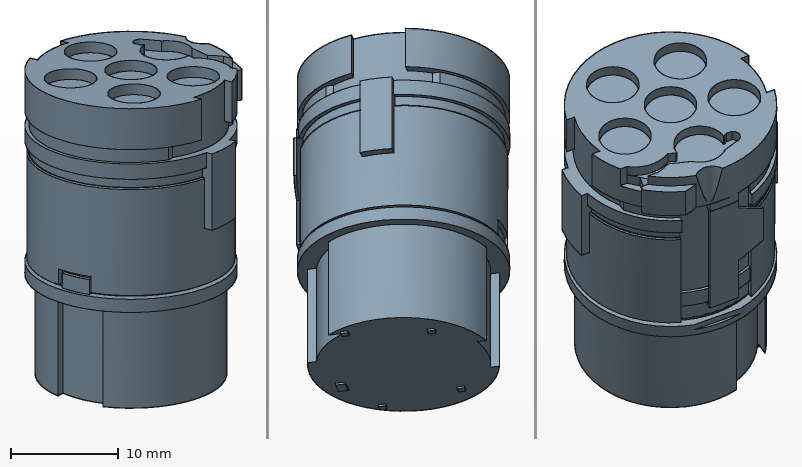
import cadquery as cq
import math

body_bottom = 0.2
flange_bottom = 10.12
flange_top = 11.43
sleeve_bottom = 11.73
sleeve_top = 22.4
collar_bottom = 23.38
collar_top = 24.9
head_bottom = 26.33
top = 30.4
pocket_depth = 1.05
pocket_floor = top - pocket_depth

rim_radius = 9.85
sleeve_radius = 9.67
neck_radius = 9.45
core_radius = 9.05
body_radius = 8.9
body_recess_radius = 8.1
key_radius = 10.5

hole_radius = 2.43
hole_circle_radius = 6.0
hole_count = 5

beyond = 15.2


def disc(radius, bottom, height_top):
    return cq.Workplane("XY").workplane(offset=bottom).circle(radius).extrude(height_top - bottom)


def block(x_min, x_max, y_min, y_max, z_min, z_max):
    size = (x_max - x_min, y_max - y_min, z_max - z_min)
    return cq.Workplane("XY").box(*size, centered=False).translate((x_min, y_min, z_min))


front_recess_half_width = 2.5
back_recess_left = -7.08
back_recess_right = -2.5


def plug_body():
    body = disc(body_radius, body_bottom, flange_bottom)
    shell = body.cut(disc(body_recess_radius, body_bottom, flange_bottom))
    front = block(-front_recess_half_width, front_recess_half_width, -beyond, 0, 0, flange_bottom)
    back = block(back_recess_left, back_recess_right, 0, beyond, 0, flange_bottom)
    return body.cut(shell.intersect(front.union(back)))


flat_y = 9.55
flat_bottom = 10.8


def flange():
    flat = block(-beyond, beyond, flat_y, beyond, flat_bottom, flange_top)
    return disc(rim_radius, flange_bottom, flange_top).cut(flat)


sleeve_chamfer = 0.12
tab_half_width = 1.52
tab_top = 12.92
tab_side_clearance = 0.27
tab_top_clearance = 0.4


def sleeve():
    shell = disc(sleeve_radius, sleeve_bottom, sleeve_top).faces(">Z").chamfer(sleeve_chamfer)
    gap_half_width = tab_half_width + tab_side_clearance
    gap = block(-gap_half_width, gap_half_width, -beyond, 0, sleeve_bottom, tab_top + tab_top_clearance)
    core = disc(core_radius, flange_top, sleeve_top)
    tab_space = block(-tab_half_width, tab_half_width, -beyond, 0, flange_top, tab_top)
    tab = disc(neck_radius, flange_top, tab_top).intersect(tab_space)
    return shell.cut(gap).union(core).union(tab)


neck_wide_half = 7.72


def neck_and_collar():
    groove = disc(neck_radius, sleeve_top, collar_bottom)
    collar = disc(rim_radius, collar_bottom, collar_top)
    wide = block(-neck_wide_half, neck_wide_half, -beyond, beyond, collar_top, head_bottom)
    neck = disc(neck_radius, collar_top, head_bottom).intersect(wide)
    return groove.union(collar).union(neck).union(disc(core_radius, collar_top, head_bottom))


side_notch_half_width = 2.58


def head():
    notches = block(-beyond, beyond, -side_notch_half_width, side_notch_half_width, head_bottom, top)
    return disc(rim_radius, head_bottom, top).cut(notches).union(disc(core_radius, head_bottom, top))


key_bottom = 17.3
left_key_half_width = 1.52
right_key_half_width = 1.98


def side_keys():
    left = block(-beyond, 0, -left_key_half_width, left_key_half_width, key_bottom, collar_top)
    right = block(0, beyond, -right_key_half_width, right_key_half_width, key_bottom, collar_top)
    return disc(key_radius, key_bottom, collar_top).intersect(left.union(right))


def contact_holes():
    holes = cq.Workplane("XY").workplane(offset=pocket_floor)
    holes = holes.polarArray(hole_circle_radius, 90, 360, hole_count).circle(hole_radius)
    center_hole = disc(hole_radius, pocket_floor, top)
    return holes.extrude(pocket_depth).union(center_hole)


latch_edge_y = 7.6
latch_edge_x = 5.25
exit_y = 5.6


def latch_pocket():
    return (
        cq.Workplane("XY").workplane(offset=pocket_floor)
        .moveTo(-1.55, 7.78)
        .lineTo(-3.45, 7.1)
        .threePointArc((-3.85, 6.45), (-3.45, 5.8))
        .lineTo(-2.83, 5.8)
        .lineTo(-2.52, 6.02)
        .lineTo(2.52, 6.02)
        .lineTo(3.25, 5.78)
        .threePointArc((5.15, 6.35), (7.05, 5.85))
        .lineTo(7.4, exit_y)
        .lineTo(beyond, exit_y)
        .lineTo(beyond, latch_edge_y)
        .lineTo(latch_edge_x, latch_edge_y)
        .lineTo(4.62, 7.4)
        .lineTo(3.9, 7.0)
        .lineTo(1.55, 7.78)
        .close().extrude(pocket_depth)
    )


opening_end_x = 7.4
opening_floor = pocket_floor - pocket_depth
ramp_end_x = 6.5


def rim_opening():
    area = (
        cq.Workplane("XY").workplane(offset=opening_floor)
        .moveTo(latch_edge_x, latch_edge_y)
        .lineTo(opening_end_x, exit_y)
        .lineTo(beyond, exit_y)
        .lineTo(beyond, latch_edge_y)
        .close().extrude(pocket_depth)
    )
    run = (opening_end_x - latch_edge_x, exit_y - latch_edge_y, 0)
    edge_length = math.hypot(run[0], run[1])
    across = (-run[1], run[0], 0)
    plane = cq.Plane(origin=(latch_edge_x, latch_edge_y, pocket_floor), xDir=across, normal=run)
    ramp = cq.Workplane(plane).polyline([(0, 0), (0, -pocket_depth), (pocket_depth, -pocket_depth)])
    ramp = ramp.close().extrude(edge_length)
    ramp = ramp.intersect(block(-beyond, ramp_end_x, -beyond, beyond, opening_floor, pocket_floor))
    return area.cut(ramp)


scallop_x = 1.03
scallop_y = 10.58
scallop_radius = 1.58


def scallop():
    foot_radius = scallop_y - rim_radius
    cone = cq.Solid.makeCone(foot_radius, scallop_radius, top - head_bottom)
    return cq.Workplane(cone.translate(cq.Vector(scallop_x, scallop_y, head_bottom)))


latch_radius = 10.67
latch_root_x = 2.28
latch_shoulder = (2.9, 9.85)
latch_peak_x = 3.62
latch_tip_x = 6.8
latch_nose_x = 7.02
latch_nose_y = 7.95


def on_circle(radius, x):
    return (x, math.sqrt(radius**2 - x**2))


def latch_end():
    middle_x = (latch_peak_x + latch_tip_x) / 2
    return (
        cq.Workplane("XY").workplane(offset=head_bottom)
        .moveTo(*on_circle(rim_radius, latch_root_x))
        .lineTo(*latch_shoulder)
        .lineTo(*on_circle(latch_radius, latch_peak_x))
        .threePointArc(on_circle(latch_radius, middle_x), on_circle(latch_radius, latch_tip_x))
        .threePointArc((latch_nose_x, latch_nose_y), (latch_tip_x, latch_edge_y))
        .lineTo(latch_edge_x, latch_edge_y)
        .close().extrude(pocket_floor - head_bottom)
    )


window_left = -3.83
window_right = 3.53
window_radius = 9.18


def back_window():
    space = block(window_left, window_right, 0, beyond, flange_top, head_bottom)
    return space.cut(disc(window_radius, flange_top, head_bottom))


leaf_bottom = 13.1
leaf_top = 25.38
leaf_left = -2.13
leaf_right = 0.9
leaf_thickness = 0.25
leaf_back_y = 9.8
leaf_bend_radius = 22.8
lobe_left = -4.95
lobe_bottom = 18.85
lobe_top = 22.8
lobe_root_bottom = 17.78
lobe_root_top = 24.47
hook_height = 0.3
hook_overlap = 0.3
pad_bottom = 13.6
pad_top = 15.3


def leaf_spring():
    outline = (
        cq.Workplane("XZ")
        .moveTo(leaf_right, leaf_bottom)
        .lineTo(leaf_left, leaf_bottom)
        .lineTo(leaf_left, lobe_root_bottom)
        .lineTo(lobe_left, lobe_bottom)
        .lineTo(lobe_left, lobe_top)
        .lineTo(leaf_left, lobe_root_top)
        .lineTo(leaf_left, leaf_top)
        .lineTo(leaf_right, leaf_top)
        .close().extrude(-beyond)
    )
    bend = (
        cq.Workplane("XY").workplane(offset=leaf_bottom)
        .center(0, leaf_back_y - leaf_bend_radius)
        .circle(leaf_bend_radius).circle(leaf_bend_radius - leaf_thickness)
        .extrude(leaf_top - leaf_bottom)
    )
    leaf = outline.intersect(bend)
    inner_y = leaf_back_y - leaf_thickness
    hook = block(leaf_left, leaf_right, core_radius - hook_overlap, inner_y, leaf_bottom,
                 leaf_bottom + hook_height)
    return leaf.union(hook)


def spring_supports():
    pad_space = block(window_left, window_right, 0, beyond, pad_bottom, pad_top)
    pad = disc(neck_radius, pad_bottom, pad_top).intersect(pad_space)
    anchor_space = block(leaf_left, leaf_right, 0, leaf_back_y, leaf_top, head_bottom)
    anchor = disc(rim_radius, leaf_top, head_bottom).intersect(anchor_space)
    return pad.union(anchor)


mark_length = 0.6
mark_width = 0.7
mark_centers = [(-7.17, 3.8), (7.17, 3.8), (-5.65, -4.1), (5.65, -4.1)]
back_mark_center = (2.55, 6.55)
back_mark_length = 1.28
back_mark_width = 0.9


def underside_pads():
    marks = cq.Workplane("XY").pushPoints(mark_centers).rect(mark_length, mark_width)
    back_mark = cq.Workplane("XY").center(*back_mark_center).rect(back_mark_length, back_mark_width)
    return marks.extrude(body_bottom).union(back_mark.extrude(body_bottom))


shell = plug_body().union(flange()).union(sleeve()).union(neck_and_collar()).union(head())
shell = shell.union(side_keys())
shell = shell.cut(back_window()).cut(contact_holes()).cut(latch_pocket())
shell = shell.cut(rim_opening()).cut(scallop())
result = shell.union(latch_end()).union(spring_supports()).union(leaf_spring()).union(underside_pads())